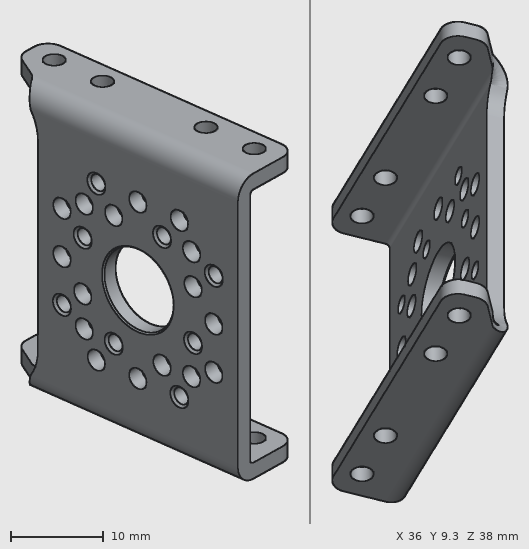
import cadquery as cq
import math


length = 36.0
depth = 9.3
height = 38.0
thickness = 2.0
plate_half_width = 14.48

bend_outer_radius = 2.5
bend_inner_radius = bend_outer_radius - thickness
neutral_factor = 0.35
bend_flat_length = math.pi / 2 * (bend_inner_radius + neutral_factor * thickness)
bend_line_z = height / 2 - bend_outer_radius

slope_angle = math.radians(30)
edge_turn = math.pi / 2 - slope_angle
edge_arc_radius = 6.08
plate_arc_height = edge_arc_radius * math.sin(edge_turn) - bend_flat_length
bend_sections = 9
cutter_overlap = bend_inner_radius / 2

flange_corner_radius = 2.0
right_x = plate_half_width
left_x = right_x - length

bore_diameter = 10.0
bore_chamfer = 0.2
clear_diameter = 2.5
tapped_diameter = 2.0
tapped_chamfer = 0.3
hole_pitch_radius = 11.0
outer_row_offset = 6.0
inner_row_radius = 7.98
inner_row_offset = 3.5
flange_pair_spacing = 7.0
flange_hole_edge_distance = 2.75


def edge_x(flat_height):
    """X of the left edge at a height, along the flat sheet, above the start of the edge arc."""
    return -plate_half_width - edge_arc_radius + math.sqrt(edge_arc_radius**2 - flat_height**2)


def make_plate():
    arc_start_z = bend_line_z - plate_arc_height
    arc_end = (edge_x(plate_arc_height), bend_line_z)
    arc_middle = (edge_x(plate_arc_height / 2), arc_start_z + plate_arc_height / 2)
    return (
        cq.Workplane("XZ")
        .moveTo(right_x, -bend_line_z)
        .lineTo(right_x, bend_line_z)
        .lineTo(*arc_end)
        .threePointArc(arc_middle, (-plate_half_width, arc_start_z))
        .lineTo(-plate_half_width, -arc_start_z)
        .threePointArc((arc_middle[0], -arc_middle[1]), (arc_end[0], -arc_end[1]))
        .close()
        .extrude(-thickness)
    )


def bend_edge_cutter():
    """Solid left of the upper bend; its right face carries the flat edge arc around the bend."""
    inner = bend_inner_radius - cutter_overlap
    outer = bend_outer_radius + cutter_overlap
    sections = []
    for i in range(bend_sections):
        share = i / (bend_sections - 1)
        angle = share * math.pi / 2
        x = edge_x(plate_arc_height + share * bend_flat_length)
        corners = []
        for corner_x, radius in ((left_x, inner), (x, inner), (x, outer), (left_x, outer)):
            y = bend_outer_radius - radius * math.cos(angle)
            z = bend_line_z + radius * math.sin(angle)
            corners.append(cq.Vector(corner_x, y, z))
        sections.append(cq.Wire.makePolygon(corners, close=True))
    return cq.Workplane(obj=cq.Solid.makeLoft(sections))


def make_bend():
    """Quarter ring along the top of the plate, trimmed at its left end."""
    ring = (
        cq.Workplane("YZ", origin=(left_x, bend_outer_radius, bend_line_z))
        .circle(bend_outer_radius)
        .circle(bend_inner_radius)
        .extrude(length)
    )
    quadrant = (
        cq.Workplane("YZ", origin=(left_x, 0, bend_line_z))
        .rect(bend_outer_radius, bend_outer_radius, centered=False)
        .extrude(length)
    )
    return ring.intersect(quadrant).cut(bend_edge_cutter())


def make_flange():
    """Upper flange with its holes."""
    slope_start_x = edge_x(plate_arc_height + bend_flat_length)
    slope_end_y = bend_outer_radius + (slope_start_x - left_x) * math.tan(slope_angle)
    flange = (
        cq.Workplane("XY", origin=(0, 0, height / 2 - thickness))
        .moveTo(slope_start_x, bend_outer_radius)
        .lineTo(right_x, bend_outer_radius)
        .lineTo(right_x, depth)
        .lineTo(left_x, depth)
        .lineTo(left_x, slope_end_y)
        .close()
        .extrude(thickness)
    )
    flange = flange.edges("|Z and (>Y or <X)").fillet(flange_corner_radius)
    hole_y = depth - flange_hole_edge_distance
    hole_points = []
    for pair_x in (-hole_pitch_radius, hole_pitch_radius):
        hole_points += [(pair_x, hole_y), (pair_x - flange_pair_spacing, hole_y)]
    holes = (
        cq.Workplane("XY", origin=(0, 0, height / 2 - thickness))
        .pushPoints(hole_points)
        .circle(clear_diameter / 2)
        .extrude(thickness)
    )
    return flange.cut(holes)


def quarter_turns(x, z):
    """The point and its three copies at quarter turns about the bore."""
    return [(x, z), (-z, x), (-x, -z), (z, -x)]


def plate_holes(points, diameter, chamfer=0):
    """Cutter for through holes in the plate, chamfered on the front face if a chamfer is given."""
    holes = cq.Workplane("XZ").pushPoints(points).circle(diameter / 2).extrude(-thickness)
    if chamfer:
        mouth = cq.Solid.makeCone(
            diameter / 2 + chamfer, diameter / 2, chamfer, cq.Vector(0, 0, 0), cq.Vector(0, 1, 0)
        )
        for x, z in points:
            holes = holes.union(cq.Workplane(obj=mouth.translate(cq.Vector(x, 0, z))))
    return holes


diagonal = hole_pitch_radius * math.sqrt(0.5)
clear_points = (
    quarter_turns(hole_pitch_radius, 0)
    + quarter_turns(diagonal, diagonal)
    + quarter_turns(outer_row_offset, hole_pitch_radius)
    + quarter_turns(inner_row_radius, inner_row_offset)
)
tapped_points = (
    quarter_turns(hole_pitch_radius, outer_row_offset)
    + quarter_turns(inner_row_offset, inner_row_radius)
)

plate = (
    make_plate()
    .cut(plate_holes([(0, 0)], bore_diameter, bore_chamfer))
    .cut(plate_holes(clear_points, clear_diameter))
    .cut(plate_holes(tapped_points, tapped_diameter, tapped_chamfer))
)
upper_side = make_bend().union(make_flange())
result = plate.union(upper_side).union(upper_side.mirror("XY"))